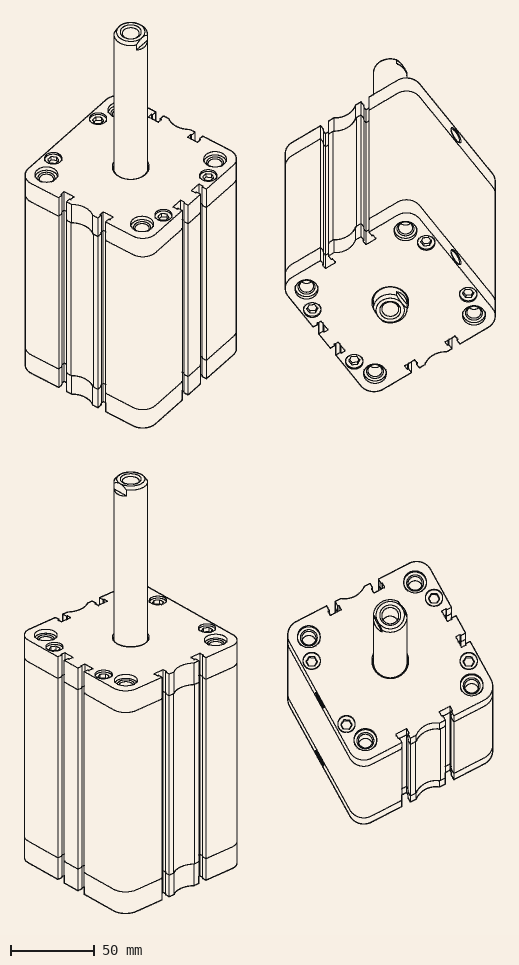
import cadquery as cq
import math


ROD_LENGTH = 272.0
ROD_BELOW = 9.0
HOUSING_HEIGHT = 153.7
CAP_HEIGHT = 15.0
HOUSING_BOTTOM = ROD_BELOW
HOUSING_TOP = HOUSING_BOTTOM + HOUSING_HEIGHT

WIDTH = 95.5
CORNER_RADIUS = 9.5
SLOT_MOUTH = 5.7
SLOT_INNER_WIDTH = 7.3
SLOT_LIP = 3.3
SLOT_DEPTH = 6.3
SIDE_SLOT_OFFSET = 14.7
END_SLOT_OFFSET = 9.0
SCOOP_DEPTH = 2.7
CAP_SCOOP_HALF_WIDTH = 8.0
BARREL_SCOOP_HALF_WIDTH = 8.5

ROD_DIAMETER = 20.0
ROD_CHAMFER_LENGTH = 2.0
ROD_CHAMFER_WIDTH = 1.5
FLATS_WIDTH = 17.0
FLATS_LENGTH = 6.0
FLATS_RAMP = 0.8
ROD_HOLE_DIAMETER = 10.0
ROD_HOLE_MOUTH = 12.5
ROD_HOLE_DEPTH = 21.8
DRILL_POINT_ANGLE = 118.0

ROD_RECESS_MOUTH = 22.0
ROD_RECESS_DIAMETER = 20.7
ROD_RECESS_DEPTH = 2.7
MOUNT_OFFSET = 36.0
MOUNT_COUNTERBORE = 13.5
MOUNT_COUNTERBORE_DEPTH = 2.7
THREAD_CORE = 8.5
MOUNT_HOLE_MOUTH = 10.0
MOUNT_HOLE_DEPTH = 13.5
SCREW_X = 41.3
SCREW_Y = 22.0
SCREW_DIAMETER = 10.3
SCREW_SINK = 1.4
HEX_ACROSS_FLATS = 5.7
HEX_DEPTH = 2.7
PORT_MOUTH = 10.3
PORT_DIAMETER = 9.2
PORT_DEPTH = 13.5


def stepped_hole(mouth, bore, depth):
    """Cutter along -Z from the origin: a 45 degree countersink leading into a flat-bottomed bore."""
    sink = (mouth - bore) / 2
    outline = [(0, 0), (mouth / 2, 0), (bore / 2, -sink), (bore / 2, -depth), (0, -depth)]
    return cq.Workplane("XZ").polyline(outline).close().revolve(360, (0, 0, 0), (0, 1, 0))


def t_slot(height):
    """Slot cutter that opens upward in Y at Y = 0, with wider space under its lips."""
    mouth = cq.Workplane("XY").rect(SLOT_MOUTH, 2 * SLOT_DEPTH).extrude(height)
    inner_height = SLOT_DEPTH - SLOT_LIP
    inner_center = -(SLOT_DEPTH + SLOT_LIP) / 2
    inner = cq.Workplane("XY").center(0, inner_center).rect(SLOT_INNER_WIDTH, inner_height).extrude(height)
    return mouth.union(inner)


def profile_block(height, scoop_half_width):
    """Rounded square prism with its T-slots, side scoops and a through hole for the rod."""
    block = cq.Workplane("XY").rect(WIDTH, WIDTH).extrude(height).edges("|Z").fillet(CORNER_RADIUS)

    slot = t_slot(height)
    scoop_radius = (scoop_half_width**2 + SCOOP_DEPTH**2) / (2 * SCOOP_DEPTH)
    scoop_center = WIDTH / 2 - SCOOP_DEPTH + scoop_radius
    scoop = cq.Workplane("XY").center(0, scoop_center).circle(scoop_radius).extrude(height)
    for turn in (0, 180):
        block = block.cut(scoop.rotate((0, 0, 0), (0, 0, 1), turn))
        for x in (-SIDE_SLOT_OFFSET, SIDE_SLOT_OFFSET):
            block = block.cut(slot.translate((x, WIDTH / 2, 0)).rotate((0, 0, 0), (0, 0, 1), turn))

    end_slot = slot.rotate((0, 0, 0), (0, 0, 1), -90)
    for y in (-END_SLOT_OFFSET, END_SLOT_OFFSET):
        block = block.cut(end_slot.translate((WIDTH / 2, y, 0)))

    rod_hole = cq.Workplane("XY").circle(ROD_DIAMETER / 2).extrude(height)
    return block.cut(rod_hole)


def make_barrel():
    height = HOUSING_HEIGHT - 2 * CAP_HEIGHT
    barrel = profile_block(height, BARREL_SCOOP_HALF_WIDTH)
    return barrel.translate((0, 0, HOUSING_BOTTOM + CAP_HEIGHT))


def mounting_hole():
    """Cutter for a corner hole: counterbore with a countersunk threaded hole in its floor."""
    counterbore = cq.Workplane("XY").circle(MOUNT_COUNTERBORE / 2).extrude(-MOUNT_COUNTERBORE_DEPTH)
    bore = stepped_hole(MOUNT_HOLE_MOUTH, THREAD_CORE, MOUNT_HOLE_DEPTH - MOUNT_COUNTERBORE_DEPTH)
    return counterbore.union(bore.translate((0, 0, -MOUNT_COUNTERBORE_DEPTH)))


def screw_recess():
    """Cutter for a sunk screw head with its hexagon socket, corners along Y."""
    hex_corners = HEX_ACROSS_FLATS / math.cos(math.radians(30))
    head = cq.Workplane("XY").circle(SCREW_DIAMETER / 2).extrude(-SCREW_SINK)
    socket = cq.Workplane("XY").polygon(6, hex_corners).extrude(-SCREW_SINK - HEX_DEPTH)
    return head.union(socket.rotate((0, 0, 0), (0, 0, 1), 90))


def make_cap():
    """End cap with its outer face at the top, at Z = CAP_HEIGHT."""
    cap = profile_block(CAP_HEIGHT, CAP_SCOOP_HALF_WIDTH)

    rod_recess = stepped_hole(ROD_RECESS_MOUTH, ROD_RECESS_DIAMETER, ROD_RECESS_DEPTH)
    cap = cap.cut(rod_recess.translate((0, 0, CAP_HEIGHT)))

    mount = mounting_hole()
    screw = screw_recess()
    for x_side in (-1, 1):
        for y_side in (-1, 1):
            cap = cap.cut(mount.translate((x_side * MOUNT_OFFSET, y_side * MOUNT_OFFSET, CAP_HEIGHT)))
            cap = cap.cut(screw.translate((x_side * SCREW_X, y_side * SCREW_Y, CAP_HEIGHT)))

    port = stepped_hole(PORT_MOUTH, PORT_DIAMETER, PORT_DEPTH).rotate((0, 0, 0), (0, 1, 0), -90)
    return cap.cut(port.translate((-WIDTH / 2, 0, CAP_HEIGHT / 2)))


def make_upper_cap():
    return make_cap().translate((0, 0, HOUSING_TOP - CAP_HEIGHT))


def make_lower_cap():
    """Same cap mirrored upside down, so that the ports and slots stay on the same sides."""
    return make_cap().mirror("XY").translate((0, 0, HOUSING_BOTTOM + CAP_HEIGHT))


def rod_end_cutter():
    """Cutter for an upper rod end whose face lies at Z = 0: two wrench flats and a threaded hole."""
    radius = ROD_DIAMETER / 2
    half_flats = FLATS_WIDTH / 2
    flat_outline = [
        (half_flats, 0),
        (radius, 0),
        (radius, -FLATS_LENGTH - FLATS_RAMP),
        (half_flats, -FLATS_LENGTH),
    ]
    flat = cq.Workplane("XZ").polyline(flat_outline).close().extrude(radius, both=True)

    hole_radius = ROD_HOLE_DIAMETER / 2
    sink = (ROD_HOLE_MOUTH - ROD_HOLE_DIAMETER) / 2
    drill_point = hole_radius / math.tan(math.radians(DRILL_POINT_ANGLE / 2))
    hole_outline = [
        (0, 0),
        (ROD_HOLE_MOUTH / 2, 0),
        (hole_radius, -sink),
        (hole_radius, -ROD_HOLE_DEPTH),
        (0, -ROD_HOLE_DEPTH - drill_point),
    ]
    hole = cq.Workplane("XZ").polyline(hole_outline).close().revolve(360, (0, 0, 0), (0, 1, 0))
    return hole.union(flat).union(flat.mirror("YZ"))


def make_rod():
    """Rod with chamfered ends; its lower end mirrors the upper one."""
    radius = ROD_DIAMETER / 2
    end_radius = radius - ROD_CHAMFER_WIDTH
    outline = [
        (0, 0),
        (end_radius, 0),
        (radius, ROD_CHAMFER_LENGTH),
        (radius, ROD_LENGTH - ROD_CHAMFER_LENGTH),
        (end_radius, ROD_LENGTH),
        (0, ROD_LENGTH),
    ]
    rod = cq.Workplane("XZ").polyline(outline).close().revolve(360, (0, 0, 0), (0, 1, 0))
    end = rod_end_cutter()
    return rod.cut(end.translate((0, 0, ROD_LENGTH))).cut(end.mirror("XY"))


barrel = make_barrel()
upper_cap = make_upper_cap()
lower_cap = make_lower_cap()
rod = make_rod()

result = cq.Compound.makeCompound([barrel.val(), upper_cap.val(), lower_cap.val(), rod.val()])